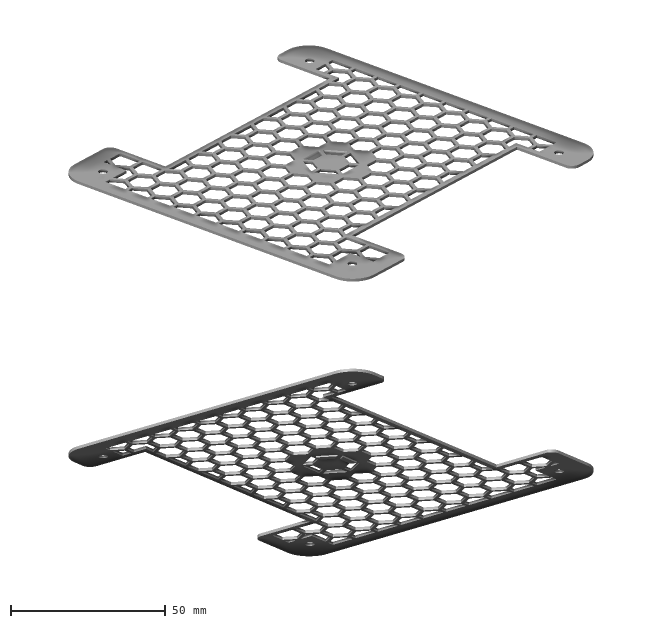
import cadquery as cq
import math

side = 126.0
plate_thickness = 1.0
outer_radius = 9.0
ear_radius = 3.0
body_width = 78.6
wall = 2.0
upper_ear_edge = 47.0
lower_ear_edge = -36.7

window_half_width = 47.1
window_half_height = 57.7
lower_pocket_half_width = 56.8
lower_pocket_floor = -47.0

hole_spacing = 105.0
hole_diameter = 3.2

cell_flats = 8.3
cell_web = 1.23
cell_pitch = cell_flats + cell_web
row_pitch = cell_pitch * math.sqrt(3) / 2
last_row = 7
last_column = 6
solid_centre_radius = 1.1 * cell_pitch

ring_inner_flats = 11.0
ring_outer_flats = 16.6
spoke_width = 1.3
slot_count = 6
slot_angle = 360 / slot_count
dish_positions = (2, 3)
dish_margin = 0.19
dish_depth = 0.5
dish_drop = 0.5
dish_slope_width = 0.5

half_side = side / 2
half_body = body_width / 2


def mirrored_prism(right_side):
    """Plate-thick prism whose outline is symmetric about the Y axis."""
    left_side = [(-x, y) for x, y in reversed(right_side)]
    outline = cq.Workplane("XY").polyline(right_side + left_side).close()
    return outline.extrude(plate_thickness)


def round_corners(body, y_positions, radius):
    """Round the upright edges at both outer X sides for each given Y."""
    reach = 0.1
    for y in y_positions:
        for x in (-half_side, half_side):
            corner = cq.selectors.BoxSelector(
                (x - reach, y - reach, -reach),
                (x + reach, y + reach, plate_thickness + reach),
            )
            body = body.edges("|Z").edges(corner).fillet(radius)
    return body


def make_plate():
    body = mirrored_prism([
        (half_side, half_side),
        (half_side, upper_ear_edge),
        (half_body, upper_ear_edge),
        (half_body, lower_ear_edge),
        (half_side, lower_ear_edge),
        (half_side, -half_side),
    ])
    body = round_corners(body, (half_side, -half_side), outer_radius)
    body = round_corners(body, (upper_ear_edge, lower_ear_edge), ear_radius)
    corners = cq.Workplane("XY").rect(hole_spacing, hole_spacing, forConstruction=True).vertices()
    return body.cut(corners.circle(hole_diameter / 2).extrude(plate_thickness))


def make_window():
    half_inside = half_body - wall
    upper_step = upper_ear_edge + wall
    lower_step = lower_ear_edge - wall
    return mirrored_prism([
        (window_half_width, window_half_height),
        (window_half_width, upper_step),
        (half_inside, upper_step),
        (half_inside, lower_step),
        (lower_pocket_half_width, lower_step),
        (lower_pocket_half_width, lower_pocket_floor),
        (window_half_width, lower_pocket_floor),
        (window_half_width, -window_half_height),
    ])


def make_cells():
    """Honeycomb cells clipped to the window, leaving the centre solid."""
    sketch_plane = cq.Workplane("XY").transformed(rotate=(0, 0, 30))
    cell = sketch_plane.polygon(6, cell_flats * 2 / math.sqrt(3)).extrude(plate_thickness).val()
    cells = []
    for row in range(-last_row, last_row + 1):
        for column in range(-last_column, last_column + 1):
            x = (column + (row % 2) / 2) * cell_pitch
            y = row * row_pitch
            if math.hypot(x, y) > solid_centre_radius:
                cells.append(cell.moved(cq.Location(cq.Vector(x, y, 0))))
    return cq.Workplane(cq.Compound.makeCompound(cells)).intersect(make_window(), clean=False)


def slot_prism(position, margin, bottom, top, taper=0):
    """Prism over one slot of the ring, its outline grown by margin."""
    inner = ring_inner_flats / 2 - margin
    outer = ring_outer_flats / 2 + margin
    slope = math.tan(math.radians(slot_angle / 2))
    end_gap = (spoke_width / 2 - margin) / math.cos(math.radians(slot_angle / 2))
    outline = cq.Workplane("XY").workplane(offset=bottom).polyline([
        (inner, end_gap - inner * slope),
        (outer, end_gap - outer * slope),
        (outer, outer * slope - end_gap),
        (inner, inner * slope - end_gap),
    ]).close()
    prism = outline.extrude(top - bottom, taper=taper)
    return prism.rotate((0, 0, 0), (0, 0, 1), slot_angle * position)


def add_dish(body, position):
    """Sink a dish with sloping sides into the top and thicken its floor below the plate."""
    floor_margin = dish_margin - dish_slope_width
    floor_height = plate_thickness - dish_depth
    widening = -math.degrees(math.atan2(dish_slope_width, dish_depth))
    dish = slot_prism(position, floor_margin, floor_height, plate_thickness, widening)
    pad = slot_prism(position, floor_margin, -dish_drop, floor_height)
    return body.cut(dish).union(pad)


plate = make_plate().cut(make_cells(), clean=False)
for slot in range(slot_count):
    if slot in dish_positions:
        plate = add_dish(plate, slot)
    else:
        plate = plate.cut(slot_prism(slot, 0, 0, plate_thickness))

result = plate